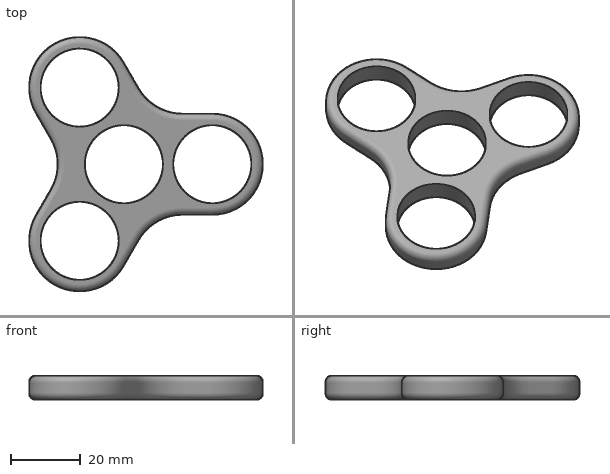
import cadquery as cq
import math

span = 72.8
thickness = 7.0
lobe_radius = 14.5
valley_radius = 14.5
edge_radius = 2.0
hole_diameter = 22.3
arm_count = 3

arm_step = 360.0 / arm_count
arm_length = (span / 2 - lobe_radius) / math.sin(math.radians(arm_step))
arm_angles = [i * arm_step for i in range(arm_count)]


def make_arm(angle):
    """Straight arm from the centre, ending in a full round."""
    bar = cq.Workplane("XY").rect(arm_length, 2 * lobe_radius).extrude(thickness)
    bar = bar.translate((arm_length / 2, 0, 0))
    lobe = cq.Workplane("XY").center(arm_length, 0).circle(lobe_radius).extrude(thickness)
    return bar.union(lobe).rotate((0, 0, 0), (0, 0, 1), angle)


def make_body():
    """Three joined arms with blended valleys and rounded rims."""
    body = make_arm(arm_angles[0])
    for angle in arm_angles[1:]:
        body = body.union(make_arm(angle))
    body = body.clean()

    corner_distance = lobe_radius / math.sin(math.radians(arm_step / 2))
    for angle in arm_angles:
        middle = math.radians(angle + arm_step / 2)
        corner = (corner_distance * math.cos(middle), corner_distance * math.sin(middle), thickness / 2)
        body = body.edges(cq.NearestToPointSelector(corner)).fillet(valley_radius)

    return body.faces("|Z").edges().fillet(edge_radius)


def cut_holes(body):
    """Through holes at the centre and in every lobe."""
    centres = [(0, 0)]
    for angle in arm_angles:
        turn = math.radians(angle)
        centres.append((arm_length * math.cos(turn), arm_length * math.sin(turn)))
    holes = cq.Workplane("XY").pushPoints(centres).circle(hole_diameter / 2).extrude(thickness)
    return body.cut(holes)


result = cut_holes(make_body())